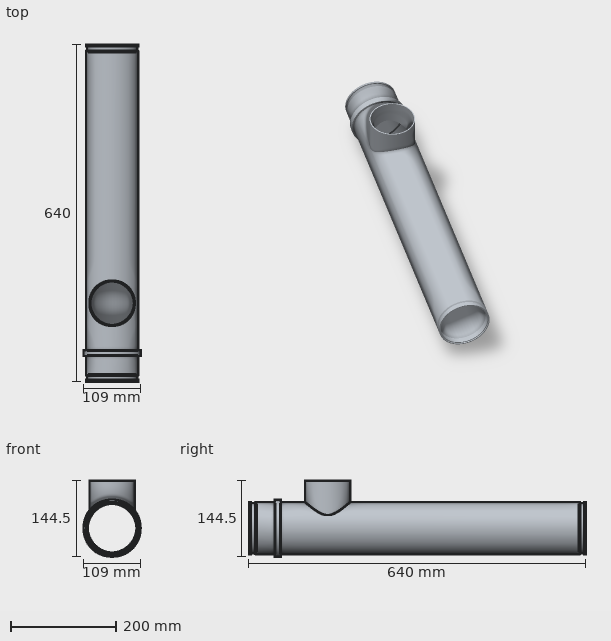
import cadquery as cq

length = 640.0
pipe_radius = 50.0
wall = 2.0

lip_width = 4.0
groove_floor_end = 11.0
groove_end = 13.0
groove_depth = 2.0

bead_radius = 54.5
bead_start = 48.5
bead_width = 11.5

branch_diameter = 86.5
branch_radius = branch_diameter / 2
branch_y = 149.0
branch_top = 90.0


def grooved_profile(radius, margin):
    """Points (radius, y) along a pipe surface that dips at both ends, widened by margin on each side."""
    near_end = [
        (radius, 0),
        (radius, lip_width - margin),
        (radius - groove_depth, lip_width - margin),
        (radius - groove_depth, groove_floor_end + margin),
        (radius, groove_end + margin),
    ]
    far_end = [(r, length - y) for r, y in reversed(near_end)]
    return near_end + far_end


def revolve_about_pipe_axis(profile):
    return cq.Workplane("XY").polyline(profile).close().revolve(360, (0, 0, 0), (0, 1, 0))


def solid_of_surface(radius, margin):
    """Solid enclosed by a grooved pipe surface."""
    return revolve_about_pipe_axis([(0, 0)] + grooved_profile(radius, margin) + [(0, length)])


def bead_disc(margin):
    """Disc filling the bead, set in from its outer surface by margin on every face."""
    start = bead_start + margin
    end = bead_start + bead_width - margin
    radius = bead_radius - margin
    return revolve_about_pipe_axis([(0, start), (radius, start), (radius, end), (0, end)])


def branch_cylinder(radius):
    return cq.Workplane("XY").center(0, branch_y).circle(radius).extrude(branch_top)


outside = solid_of_surface(pipe_radius, 0).union(bead_disc(0)).union(branch_cylinder(branch_radius))
pipe_bore = solid_of_surface(pipe_radius - wall, wall).union(bead_disc(wall))
branch_bore = branch_cylinder(branch_radius - wall)

result = outside.cut(pipe_bore).cut(branch_bore)